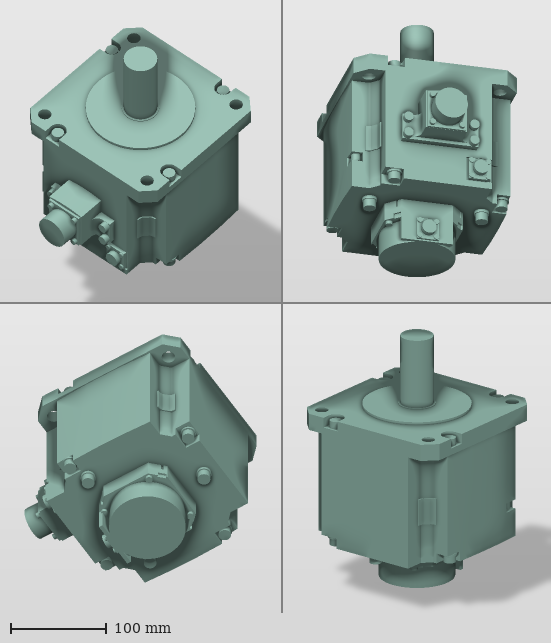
import cadquery as cq
import math


SHAFT_D = 35.0
SHAFT_TOP = 79.0
COLLAR_D = 39.5
COLLAR_TOP = 4.0
REGISTER_D = 114.3
REGISTER_TOP = 3.2

SIZE = 176.0
HALF = SIZE / 2
FLANGE_T = 18.0
FLANGE_CHAMFER = 14.0
BOLT_CIRCLE = 200.0
BOLT_HOLE_D = 14.0

BODY_BOTTOM = -142.0
PANEL_HALF = 57.3
SIDE_CENTRE = 87.3
SIDE_EDGE = 85.5
RECESS_REACH = 66.4
RECESS_FILLET = 4.0
RECESS_OUTSIDE = HALF + 1
WEB_TOP = -70.0
WEB_BOTTOM = -98.8
WEB_MOUTH = 71.4
WEB_FLAT = 88.7
WEB_CLEARANCE_R = 12.0

TIE_ALONG = 45.4
TIE_OUT = 79.1
TIE_HEAD_D = 13.0
TIE_HEAD_H = 8.0
WASHER_D = 16.0
WASHER_T = 2.4
HEAD_SLOT_W = 18.6
HEAD_SLOT_LENGTH = 18.2
HEAD_SLOT_DEPTH = 10.8
NUT_POCKET_W = 20.0
NUT_POCKET_DEPTH = 17.0
NUT_POCKET_H = 11.0

SIDE_POCKET_W = 16.0
SIDE_POCKET_TOP = -101.2
SIDE_POCKET_H = 10.2
SIDE_POCKET_DEPTH = 14.5
SIDE_SCREW_D = 10.0
SIDE_SCREW_H = 8.2

FOOT_CIRCLE = 139.6
FOOT_ANGLES = (90, 210, 330)
FOOT_WASHER_D = 15.6
FOOT_WASHER_T = 3.2
FOOT_D = 13.2
FOOT_LENGTH = 11.6

ENC_HALF = 42.3
ENC_CHAMFER = 14.6
ENC_SPACER_BOTTOM = -149.4
ENC_FLANGE_BOTTOM = -161.6
ENC_BOTTOM = -188.0
CAP_D = 80.0
CAP_PAD_BACK = 38.0
CAP_PAD_HALF = ENC_HALF - ENC_CHAMFER
ENC_SCREW_XY = (-36.9, -25.4)
ENC_SCREW_D = 7.4
ENC_SCREW_H = 3.7
ENC_NOTCH_OFFSET = 4.8
ENC_NOTCH_W = 9.2
ENC_NOTCH_H = 5.0
ENC_GROOVE_W = 2.4
ENC_NOTCH_DEPTH = 2.0

POWER_Z = -74.5
EAR_HALF = 40.8
EAR_TOP = -70.0
EAR_BOTTOM = -98.6
EAR_T = 7.4
EAR_SCREW_X = 35.6
EAR_SCREW_ZS = (-75.1, -93.6)
EAR_SCREW_D = 10.0
EAR_SCREW_H = 6.4
HOOD_HALF = 22.2
HOOD_BOTTOM = -95.2
HOOD_EDGE_TOP = -52.1
HOOD_CROWN_TOP = -50.2
HOOD_LENGTH = 31.2
HOOD_FILLET = 8.0
POWER_PLATE = 41.2
POWER_PLATE_T = 2.6
POWER_BOSS_D = 35.0
POWER_TIP = 140.85
POWER_SCREW_OFFSET = 16.0
POWER_SCREW_D = 6.2
POWER_SCREW_H = 4.0

SIGNAL_PLATE = 23.8
SIGNAL_PLATE_T = 2.5
SIGNAL_BOSS_D = 15.4
SIGNAL_BOSS_LENGTH = 8.8
SIGNAL_SCREW_OFFSET = 8.9
SIGNAL_SCREW_D = 5.6
SIGNAL_SCREW_H = 1.9
BRAKE_X = 44.0
BRAKE_Z = -121.3
BRAKE_SEAT = 27.3
BRAKE_SEAT_DEPTH = 2.0
ENC_CONNECTOR_Z = -174.6


def box(x0, x1, y0, y1, z0, z1):
    """Box between two opposite corners."""
    return cq.Workplane("XY").box(x1 - x0, y1 - y0, z1 - z0, centered=False).translate((x0, y0, z0))


def post(x, y, diameter, z0, z1):
    """Vertical cylinder from z0 to z1."""
    return cq.Workplane("XY", origin=(x, y, z0)).circle(diameter / 2).extrude(z1 - z0)


def front_post(x, z, diameter, y_start, length):
    """Cylinder growing towards -Y from y = y_start."""
    return cq.Workplane("XZ", origin=(x, y_start, z)).circle(diameter / 2).extrude(length)


def four_turns(shape):
    """The shape repeated at quarter turns about the Z axis."""
    copies = shape
    for turn in range(1, 4):
        copies = copies.union(shape.rotate((0, 0, 0), (0, 0, 1), 90 * turn))
    return copies


def chamfered_square(half, chamfer, z0, z1):
    block = box(-half, half, -half, half, z0, z1)
    return block.edges("|Z").chamfer(chamfer)


def corner_recess(z0, z1):
    """Recess at the (-X, -Y) corner with a diagonal inner wall."""
    return (
        cq.Workplane("XY", origin=(0, 0, z0))
        .moveTo(-PANEL_HALF, -RECESS_OUTSIDE)
        .lineTo(-PANEL_HALF, -RECESS_REACH)
        .lineTo(-RECESS_REACH, -PANEL_HALF)
        .lineTo(-RECESS_OUTSIDE, -PANEL_HALF)
        .lineTo(-RECESS_OUTSIDE, -RECESS_OUTSIDE)
        .close()
        .extrude(z1 - z0)
    )


def filleted_recess(z0, z1):
    """Corner recess with both edges of its diagonal wall rounded."""
    diagonal_wall = cq.selectors.DirectionMinMaxSelector(cq.Vector(1, 1, 0))
    return corner_recess(z0, z1).faces(diagonal_wall).edges("|Z").fillet(RECESS_FILLET)


def web_recess():
    """Recess at the (-X, -Y) corner cleared in an arc on each side of a diagonal flat."""
    bolt_distance = BOLT_CIRCLE / 2
    flat_gap = bolt_distance - WEB_FLAT
    flat_half = math.sqrt(WEB_CLEARANCE_R**2 - flat_gap**2)
    far = (WEB_FLAT + flat_half) * math.sqrt(0.5)
    near = (WEB_FLAT - flat_half) * math.sqrt(0.5)
    bolt = bolt_distance * math.sqrt(0.5)
    mouth_x = bolt - math.sqrt(WEB_CLEARANCE_R**2 - (WEB_MOUTH - bolt) ** 2)
    chord_x = (mouth_x + near) / 2 - bolt
    chord_y = (WEB_MOUTH + far) / 2 - bolt
    stretch = WEB_CLEARANCE_R / math.hypot(chord_x, chord_y)
    mid_x = bolt + chord_x * stretch
    mid_y = bolt + chord_y * stretch
    return (
        cq.Workplane("XY", origin=(0, 0, WEB_BOTTOM))
        .moveTo(-PANEL_HALF, -RECESS_OUTSIDE)
        .lineTo(-PANEL_HALF, -WEB_MOUTH)
        .lineTo(-mouth_x, -WEB_MOUTH)
        .threePointArc((-mid_x, -mid_y), (-near, -far))
        .lineTo(-far, -near)
        .threePointArc((-mid_y, -mid_x), (-WEB_MOUTH, -mouth_x))
        .lineTo(-WEB_MOUTH, -PANEL_HALF)
        .lineTo(-RECESS_OUTSIDE, -PANEL_HALF)
        .lineTo(-RECESS_OUTSIDE, -RECESS_OUTSIDE)
        .close()
        .extrude(WEB_TOP - WEB_BOTTOM)
    )


def make_body():
    bulged = (
        cq.Workplane("XY", origin=(0, 0, BODY_BOTTOM))
        .moveTo(-SIDE_EDGE, -PANEL_HALF)
        .lineTo(-PANEL_HALF, -HALF)
        .lineTo(PANEL_HALF, -HALF)
        .lineTo(SIDE_EDGE, -PANEL_HALF)
        .threePointArc((SIDE_CENTRE, 0), (SIDE_EDGE, PANEL_HALF))
        .lineTo(PANEL_HALF, HALF)
        .lineTo(-PANEL_HALF, HALF)
        .lineTo(-SIDE_EDGE, PANEL_HALF)
        .threePointArc((-SIDE_CENTRE, 0), (-SIDE_EDGE, -PANEL_HALF))
        .close()
        .extrude(-FLANGE_T - BODY_BOTTOM)
    )
    upper = filleted_recess(WEB_TOP, -FLANGE_T)
    lower = corner_recess(BODY_BOTTOM, WEB_BOTTOM)
    return bulged.cut(four_turns(upper)).cut(four_turns(web_recess())).cut(four_turns(lower))


def make_flange():
    flange = chamfered_square(HALF, FLANGE_CHAMFER, -FLANGE_T, 0)
    register = post(0, 0, REGISTER_D, 0, REGISTER_TOP)
    collar = post(0, 0, COLLAR_D, 0, COLLAR_TOP)
    shaft = post(0, 0, SHAFT_D, 0, SHAFT_TOP)
    return flange.union(register).union(collar).union(shaft)


def bolt_holes():
    offset = BOLT_CIRCLE / 2 * math.sqrt(0.5)
    return four_turns(post(offset, offset, BOLT_HOLE_D, -FLANGE_T, 0))


def tie_bolt_pockets():
    """Head slot in the flange and nut pocket at the bottom of the -Y side, on all four sides."""
    radius = HEAD_SLOT_W / 2
    slot_end = -HALF + HEAD_SLOT_LENGTH - radius
    slot = box(-TIE_ALONG - radius, -TIE_ALONG + radius, -HALF, slot_end, -HEAD_SLOT_DEPTH, 0)
    slot = slot.union(post(-TIE_ALONG, slot_end, HEAD_SLOT_W, -HEAD_SLOT_DEPTH, 0))
    nut_pocket = box(
        -PANEL_HALF, -PANEL_HALF + NUT_POCKET_W,
        -HALF, -HALF + NUT_POCKET_DEPTH,
        BODY_BOTTOM, BODY_BOTTOM + NUT_POCKET_H,
    )
    return four_turns(slot.union(nut_pocket))


def tie_bolts():
    roof = BODY_BOTTOM + NUT_POCKET_H
    head = post(-TIE_ALONG, -TIE_OUT, TIE_HEAD_D, -HEAD_SLOT_DEPTH, -HEAD_SLOT_DEPTH + TIE_HEAD_H)
    washer = post(-TIE_ALONG, -TIE_OUT, WASHER_D, roof - WASHER_T, roof)
    nut = post(-TIE_ALONG, -TIE_OUT, TIE_HEAD_D, roof - WASHER_T - TIE_HEAD_H, roof)
    return four_turns(head.union(washer).union(nut))


def side_pocket():
    return box(
        -HALF, -HALF + SIDE_POCKET_DEPTH,
        -PANEL_HALF, -PANEL_HALF + SIDE_POCKET_W,
        SIDE_POCKET_TOP - SIDE_POCKET_H, SIDE_POCKET_TOP,
    )


def side_screw():
    y = -PANEL_HALF + SIDE_POCKET_W / 2
    return post(-TIE_OUT, y, SIDE_SCREW_D, SIDE_POCKET_TOP - SIDE_SCREW_H, SIDE_POCKET_TOP)


def foot_bolts():
    bolts = cq.Workplane("XY")
    for degrees in FOOT_ANGLES:
        x = FOOT_CIRCLE / 2 * math.cos(math.radians(degrees))
        y = FOOT_CIRCLE / 2 * math.sin(math.radians(degrees))
        bolts = bolts.union(post(x, y, FOOT_WASHER_D, BODY_BOTTOM - FOOT_WASHER_T, BODY_BOTTOM))
        bolts = bolts.union(post(x, y, FOOT_D, BODY_BOTTOM - FOOT_LENGTH, BODY_BOTTOM))
    return bolts


def chamfer_notch(width, z0, z1):
    """Notch in the chamfer of the (-X, -Y) encoder corner, offset along the chamfer."""
    chamfer_distance = (2 * ENC_HALF - ENC_CHAMFER) * math.sqrt(0.5)
    notch = box(
        -chamfer_distance, -chamfer_distance + ENC_NOTCH_DEPTH,
        -ENC_NOTCH_OFFSET - width / 2, -ENC_NOTCH_OFFSET + width / 2,
        z0, z1,
    )
    return notch.rotate((0, 0, 0), (0, 0, 1), 45)


def make_cap():
    """Round cap with a flat connector pad on its -Y side."""
    cap = post(0, 0, CAP_D, ENC_BOTTOM, ENC_FLANGE_BOTTOM)
    pad = box(-CAP_PAD_HALF, CAP_PAD_HALF, -ENC_HALF, -CAP_PAD_BACK, ENC_BOTTOM, ENC_FLANGE_BOTTOM)
    return cap.union(pad)


def make_encoder():
    base = chamfered_square(ENC_HALF, ENC_CHAMFER, ENC_FLANGE_BOTTOM, BODY_BOTTOM)
    notch = chamfer_notch(ENC_NOTCH_W, ENC_FLANGE_BOTTOM, ENC_FLANGE_BOTTOM + ENC_NOTCH_H)
    groove = chamfer_notch(ENC_GROOVE_W, ENC_SPACER_BOTTOM, BODY_BOTTOM)
    base = base.cut(four_turns(notch.union(groove)))
    screw = post(*ENC_SCREW_XY, ENC_SCREW_D, ENC_FLANGE_BOTTOM - ENC_SCREW_H, ENC_FLANGE_BOTTOM)
    return base.union(make_cap()).union(four_turns(screw))


def plate_screws(x, z, offset, diameter, y_start, length):
    screws = cq.Workplane("XY")
    for dx in (-offset, offset):
        for dz in (-offset, offset):
            screws = screws.union(front_post(x + dx, z + dz, diameter, y_start, length))
    return screws


def signal_connector(x, z, y_face, root):
    """Square plate with a round socket on a -Y face, reaching root deep behind that face."""
    half = SIGNAL_PLATE / 2
    plate_front = y_face - SIGNAL_PLATE_T
    plate = box(x - half, x + half, plate_front, y_face + root, z - half, z + half)
    boss = front_post(x, z, SIGNAL_BOSS_D, y_face, SIGNAL_BOSS_LENGTH)
    screws = plate_screws(x, z, SIGNAL_SCREW_OFFSET, SIGNAL_SCREW_D, plate_front, SIGNAL_SCREW_H)
    return plate.union(boss).union(screws)


def brake_seat():
    """Shallow seat for the signal connector, open to the +X edge of the panel."""
    half = BRAKE_SEAT / 2
    return box(
        PANEL_HALF - BRAKE_SEAT, PANEL_HALF,
        -HALF, -HALF + BRAKE_SEAT_DEPTH,
        BRAKE_Z - half, BRAKE_Z + half,
    )


def make_hood():
    """Power connector housing with a slightly crowned top."""
    return (
        cq.Workplane("XZ", origin=(0, -HALF, 0))
        .moveTo(-HOOD_HALF, HOOD_BOTTOM)
        .lineTo(HOOD_HALF, HOOD_BOTTOM)
        .lineTo(HOOD_HALF, HOOD_EDGE_TOP)
        .threePointArc((0, HOOD_CROWN_TOP), (-HOOD_HALF, HOOD_EDGE_TOP))
        .close()
        .extrude(HOOD_LENGTH)
    )


def hood_fillet(side):
    """Concave rounding between the hood flank and an ear; side is -1 or +1."""
    ear_front = -HALF - EAR_T
    corner_x = side * HOOD_HALF
    outer_x = side * (HOOD_HALF + HOOD_FILLET)
    front = ear_front - HOOD_FILLET
    inset = HOOD_FILLET * (1 - math.sqrt(0.5))
    return (
        cq.Workplane("XY", origin=(0, 0, HOOD_BOTTOM))
        .moveTo(corner_x, ear_front)
        .lineTo(outer_x, ear_front)
        .threePointArc((corner_x + side * inset, ear_front - inset), (corner_x, front))
        .close()
        .extrude(EAR_TOP - HOOD_BOTTOM)
    )


def make_power_connector():
    ear_front = -HALF - EAR_T
    hood_front = -HALF - HOOD_LENGTH
    plate_front = hood_front - POWER_PLATE_T
    half = POWER_PLATE / 2
    connector = make_hood().union(box(-EAR_HALF, EAR_HALF, ear_front, -HALF, EAR_BOTTOM, EAR_TOP))
    for side in (-1, 1):
        connector = connector.union(hood_fillet(side))
        for z in EAR_SCREW_ZS:
            screw = front_post(side * EAR_SCREW_X, z, EAR_SCREW_D, ear_front, EAR_SCREW_H)
            connector = connector.union(screw)
    plate = box(-half, half, plate_front, hood_front, POWER_Z - half, POWER_Z + half)
    boss = front_post(0, POWER_Z, POWER_BOSS_D, plate_front, plate_front + POWER_TIP)
    screws = plate_screws(0, POWER_Z, POWER_SCREW_OFFSET, POWER_SCREW_D, plate_front, POWER_SCREW_H)
    return connector.union(plate).union(boss).union(screws)


motor = make_body().union(make_flange())
motor = motor.cut(bolt_holes()).cut(tie_bolt_pockets()).cut(side_pocket()).cut(brake_seat())
motor = motor.union(tie_bolts()).union(side_screw()).union(foot_bolts())
motor = motor.union(make_encoder()).union(make_power_connector())
motor = motor.union(signal_connector(BRAKE_X, BRAKE_Z, -HALF, BRAKE_SEAT_DEPTH))
motor = motor.union(signal_connector(0, ENC_CONNECTOR_Z, -ENC_HALF, 0))

result = motor